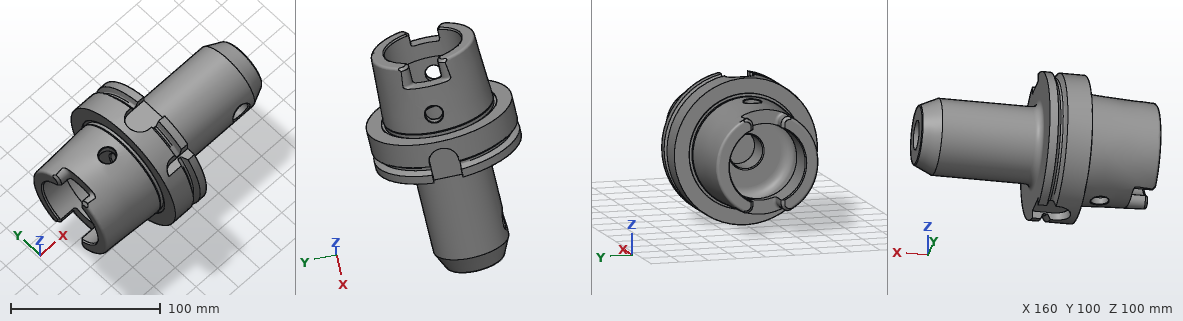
import cadquery as cq
total_length = 160.0

taper_length = 50.0
taper_base_radius = 38.0
taper_slope = 0.05
rim_round = 2.0
neck_radius = 37.5
neck_width = 2.4
neck_chamfer_length = 1.0
face_groove_radius = 39.5
face_groove_depth = 1.0

flange_radius = 50.0
flange_end = 78.9
grip_groove_center = 70.0
grip_groove_top_width = 6.4
grip_groove_floor_width = 2.9
grip_groove_radius = 46.0
grip_groove_round = 1.0

shank_radius = 26.0
shank_fillet = 5.0
nose_start = 147.2
nose_end_radius = 20.3
nose_chamfer = 0.6

bore_radius = 26.5
bore_chamfer = 0.6
bore_chamfer_length = 1.3
bore_length = 20.6
chamber_radius = 32.0
chamber_straight_end = 41.6
chamber_floor_fillet = 7.4
thread_hole_radius = 11.7
thread_hole_depth = 19.2
thread_hole_chamfer = 0.8

drive_slot_half_width = 10.0
drive_slot_height = 32.2
drive_slot_corner = 5.0
drive_slot_round = 2.0
drive_slot_chamfer = 2.0
top_drive_slot_depth = 10.0
bottom_drive_slot_depth = 15.0

cross_hole_x = 35.0
cross_hole_radius = 6.0
cross_hole_chamfer = 0.5

keyway_start = 55.0
keyway_half_width = 10.0
keyway_floor = 43.8
notch_position = 32.0
notch_corner_radius = 8.0

tool_bore_radius = 10.0
tool_bore_depth = 51.2
screw_x = 134.9
screw_hole_radius = 7.0
screw_hole_chamfer = 1.0


def disk(x, radius, length):
    """Cylinder on the part axis from x to x + length."""
    return cq.Workplane("YZ", origin=(x, 0, 0)).circle(radius).extrude(length)


def cone(x, start_radius, end_radius, length):
    """Truncated cone on the part axis from x to x + length."""
    outline = [(x, 0), (x, start_radius), (x + length, end_radius), (x + length, 0)]
    return cq.Workplane("XY").polyline(outline).close().revolve(360, (0, 0, 0), (1, 0, 0))


def outer_body():
    """Taper, neck, flange and shank turned about the X axis."""
    neck_start = taper_length - neck_width
    taper_front_radius = taper_base_radius - taper_slope * taper_length
    taper_end_radius = taper_base_radius - taper_slope * neck_width
    face_groove_floor = taper_length + face_groove_depth
    nose_end = total_length - nose_chamfer
    profile = (
        cq.Workplane("XY")
        .lineTo(0, taper_front_radius)
        .lineTo(neck_start, taper_end_radius)
        .lineTo(neck_start + neck_chamfer_length, neck_radius)
        .lineTo(face_groove_floor, neck_radius)
        .lineTo(face_groove_floor, face_groove_radius)
        .lineTo(taper_length, face_groove_radius)
        .lineTo(taper_length, flange_radius)
        .lineTo(flange_end, flange_radius)
        .lineTo(flange_end, shank_radius + shank_fillet)
        .radiusArc((flange_end + shank_fillet, shank_radius), -shank_fillet)
        .lineTo(nose_start, shank_radius)
        .lineTo(nose_end, nose_end_radius)
        .lineTo(total_length, nose_end_radius - nose_chamfer)
        .lineTo(total_length, 0)
        .close()
    )
    body = profile.revolve(360, (0, 0, 0), (1, 0, 0))
    return body.faces("<X").edges().fillet(rim_round)


def grip_groove():
    """Ring with a trapezoid section and rounded floor corners."""
    half_top = grip_groove_top_width / 2
    half_floor = grip_groove_floor_width / 2
    section = [
        (grip_groove_center - half_top, flange_radius),
        (grip_groove_center - half_floor, grip_groove_radius),
        (grip_groove_center + half_floor, grip_groove_radius),
        (grip_groove_center + half_top, flange_radius),
    ]
    ring = cq.Workplane("XY").polyline(section).close().revolve(360, (0, 0, 0), (1, 0, 0))
    floor_edges = cq.selectors.RadiusNthSelector(0)
    return ring.edges("%CIRCLE").edges(floor_edges).fillet(grip_groove_round)


def taper_cavity():
    """Chamfered clamping bore, wider chamber with a filleted floor, and blind thread hole."""
    cavity_depth = chamber_straight_end + chamber_floor_fillet
    bore = disk(0, bore_radius, bore_length)
    bore_mouth = cone(0, bore_radius + bore_chamfer, bore_radius, bore_chamfer_length)
    chamber = disk(bore_length, chamber_radius, cavity_depth - bore_length)
    chamber = chamber.faces(">X").edges().fillet(chamber_floor_fillet)
    thread_hole = disk(cavity_depth, thread_hole_radius, thread_hole_depth)
    thread_mouth_radius = thread_hole_radius + thread_hole_chamfer
    thread_mouth = cone(cavity_depth, thread_mouth_radius, thread_hole_radius, thread_hole_chamfer)
    return bore.union(bore_mouth).union(chamber).union(thread_hole).union(thread_mouth)


def drive_slot_outline(x, growth):
    """Closed outline at x of the upper drive slot, with its walls moved outward by growth."""
    side = taper_base_radius
    top = taper_base_radius
    corner = drive_slot_corner - growth
    half_width = drive_slot_half_width + growth
    shoulder = drive_slot_height - drive_slot_corner
    ledge = shoulder + corner
    corner_end = half_width + corner
    return (
        cq.Workplane("YZ", origin=(x, 0, 0))
        .moveTo(-half_width, 0)
        .lineTo(-half_width, shoulder)
        .radiusArc((-corner_end, ledge), -corner)
        .lineTo(-side, ledge)
        .lineTo(-side, top)
        .lineTo(side, top)
        .lineTo(side, ledge)
        .lineTo(corner_end, ledge)
        .radiusArc((half_width, shoulder), -corner)
        .lineTo(half_width, 0)
        .close()
    )


def drive_slot(depth):
    """Upper drive slot: rounded floor edges, chamfered mouth, walls that curve out into flat ledges."""
    slot = drive_slot_outline(0, 0).extrude(depth)
    wall_edges = slot.faces(">X").edges("not(<Z or >Z)").edges("not(<Y or >Y)")
    slot = wall_edges.fillet(drive_slot_round)
    mouth_start = drive_slot_outline(0, drive_slot_chamfer).val()
    mouth_end = drive_slot_outline(drive_slot_chamfer, 0).val()
    return slot.union(cq.Workplane(cq.Solid.makeLoft([mouth_start, mouth_end], True)))


def chamfer_hole_rim(body, center, side, radius, size):
    """Chamfer the outer edge, toward side, of the hole that opens at center."""
    reach = 1.5 * radius
    low = tuple(value - reach for value in center)
    high = tuple(value + reach for value in center)
    zone = cq.selectors.BoxSelector(low, high, boundingbox=True)
    return body.edges(zone).edges(side).chamfer(size)


def cut_cross_hole(body):
    """Vertical hole through both walls of the taper, chamfered at its two outer edges."""
    plane = cq.Workplane("XY", origin=(cross_hole_x, 0, 0))
    body = body.cut(plane.circle(cross_hole_radius).extrude(taper_base_radius, both=True))
    outer_radius = taper_base_radius - taper_slope * (taper_length - cross_hole_x)
    for height, side in ((outer_radius, ">Z"), (-outer_radius, "<Z")):
        center = (cross_hole_x, 0, height)
        body = chamfer_hole_rim(body, center, side, cross_hole_radius, cross_hole_chamfer)
    return body


def keyway():
    """Round-ended keyway open toward the shank, on top of the flange."""
    center_x = keyway_start + keyway_half_width
    height = flange_radius - keyway_floor
    plane = cq.Workplane("XY", origin=(0, 0, keyway_floor))
    return (
        plane.moveTo(flange_end, -keyway_half_width)
        .lineTo(center_x, -keyway_half_width)
        .threePointArc((keyway_start, 0), (center_x, keyway_half_width))
        .lineTo(flange_end, keyway_half_width)
        .close()
        .extrude(height)
    )


def orientation_notch():
    """Square corner cut on the -Y, +Z edge of the flange with one rounded end."""
    size = flange_radius - notch_position
    length = flange_end - keyway_start
    notch = cq.Workplane("XY").box(length, size, size, centered=False)
    notch = notch.translate((keyway_start, -flange_radius, notch_position))
    return notch.edges("|Z and >Y and <X").fillet(notch_corner_radius)


def cut_tool_bore(body):
    """Bore for the tool shank with its clamping screw hole from the -Y side."""
    bore_start = total_length - tool_bore_depth
    body = body.cut(disk(bore_start, tool_bore_radius, tool_bore_depth))
    plane = cq.Workplane("XZ", origin=(screw_x, 0, 0))
    body = body.cut(plane.circle(screw_hole_radius).extrude(shank_radius))
    return chamfer_hole_rim(body, (screw_x, -shank_radius, 0), "<Y", screw_hole_radius, screw_hole_chamfer)


body = outer_body().cut(grip_groove()).cut(taper_cavity())
body = body.cut(drive_slot(top_drive_slot_depth))
body = body.cut(drive_slot(bottom_drive_slot_depth).rotate((0, 0, 0), (1, 0, 0), 180))
body = body.cut(orientation_notch())
for angle in (0, 180):
    body = body.cut(keyway().rotate((0, 0, 0), (1, 0, 0), angle))
body = cut_cross_hole(body)
result = cut_tool_bore(body)